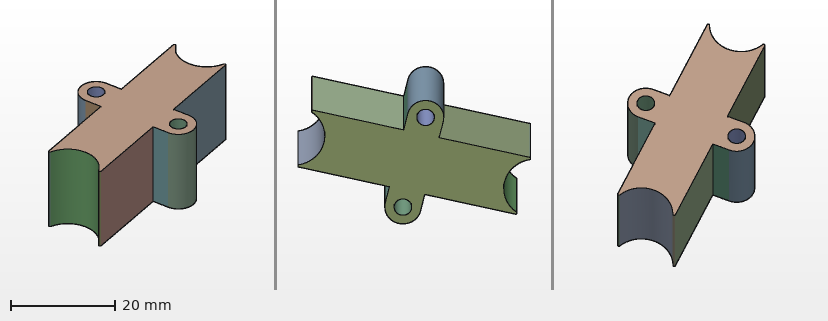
import cadquery as cq
import math

bar_length = 43.1
bar_width = 12.05
height = 17.5

saddle_radius = 6.05
tip_radius = 0.25

overall_width = 26.0
lug_width = 7.0
hole_diameter = 3.35
hole_spacing = overall_width - lug_width


def make_half_bar():
    """Half of the bar on the +Y side, with its saddle and rounded tips."""
    half_width = bar_width / 2
    tip_x = half_width - tip_radius
    tip_y = bar_length / 2 - tip_radius
    center_distance = saddle_radius + tip_radius
    center_rise = math.sqrt(center_distance**2 - tip_x**2)
    saddle_y = tip_y + center_rise

    join_x = tip_x * saddle_radius / center_distance
    join_y = saddle_y - center_rise * saddle_radius / center_distance

    tip_top = bar_length / 2
    return (
        cq.Workplane("XY")
        .moveTo(-half_width, 0)
        .lineTo(half_width, 0)
        .lineTo(half_width, tip_y)
        .threePointArc((tip_x, tip_top), (join_x, join_y))
        .threePointArc((0, saddle_y - saddle_radius), (-join_x, join_y))
        .threePointArc((-tip_x, tip_top), (-half_width, tip_y))
        .close()
        .extrude(height)
    )


def make_bar():
    """Whole bar, mirrored about its middle."""
    half_bar = make_half_bar()
    return half_bar.union(half_bar.mirror("XZ"))


def make_lugs():
    """Single full-height slot shape whose two ends form the lugs."""
    return cq.Workplane("XY").slot2D(overall_width, lug_width).extrude(height)


def make_screw_holes():
    """Pins that cut the through hole of each lug."""
    return (
        cq.Workplane("XY")
        .rarray(hole_spacing, 0.45, 2, 1)
        .circle(hole_diameter / 2)
        .extrude(height)
    )


result = make_bar().union(make_lugs()).cut(make_screw_holes()).clean()